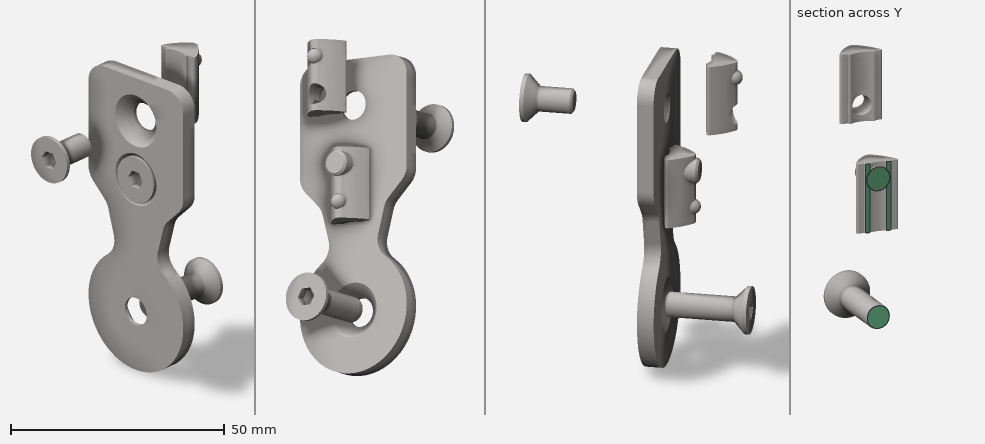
import cadquery as cq
import math


plate_thickness = 4.0
disc_radius = 15.0
plate_half_width = disc_radius
plate_top = 60.0
shoulder_z = 31.0
neck_top_x = 9.0
neck_top_z = shoulder_z - (plate_half_width - neck_top_x)
neck_foot_x = 5.0
neck_foot_z = 10.0
corner_radius = 5.0
screw_hole_radius = 3.5
countersink_radius = 6.55
fixing_pitch = 15.0
lower_fixing_z = 33.95
upper_fixing_z = lower_fixing_z + fixing_pitch

shank_radius = 3.0
head_radius = 5.7
head_rim = 1.0
head_height = head_rim + head_radius - shank_radius
under_head_fillet = 0.6
tip_chamfer = 0.55
short_screw_length = 12.0
long_screw_length = 20.1
socket_across_flats = 4.0
socket_depth = 2.0
loose_screw_face_y = -30.25

nut_length = 17.0
nut_half_width = 5.2
nut_side_height = 0.8
nut_flank = (3.66, 3.3)
nut_crown = (1.3, 5.7)
nut_apex = 6.3
foot_half_width = 3.3
foot_tip_x = 2.85
foot_height = 0.55
lip_corner_radius = 0.4
foot_root_radius = 0.2
hollow_rise = 0.2
end_offset = 4.0
nut_hole_radius = 2.5
loose_nut_gap = 10.0

head_proud = head_rim - (countersink_radius - head_radius)

ball_radius = 1.85
ball_protrusion = 1.2
ball_center = foot_height + nut_apex + ball_protrusion - ball_radius


def cylinder_along_y(radius, start_y, end_y, z):
    circle = cq.Workplane("XZ", origin=(0, start_y, z)).circle(radius)
    return circle.extrude(start_y - end_y)


def plate_blank():
    outline = [
        (-plate_half_width, plate_top),
        (plate_half_width, plate_top),
        (plate_half_width, shoulder_z),
        (neck_top_x, neck_top_z),
        (neck_foot_x, neck_foot_z),
        (-neck_foot_x, neck_foot_z),
        (-neck_top_x, neck_top_z),
        (-plate_half_width, shoulder_z),
    ]
    upper = cq.Workplane("XZ").polyline(outline).close().extrude(-plate_thickness)
    disc = cylinder_along_y(disc_radius, 0, plate_thickness, 0)
    blank = upper.union(disc)
    above_foot = cq.selectors.BoxSelector(
        (-2 * plate_half_width, -plate_thickness, neck_foot_z),
        (2 * plate_half_width, 2 * plate_thickness, 2 * plate_top),
    )
    return blank.edges("|Y").edges(above_foot).fillet(corner_radius)


def countersunk_hole(z):
    """Through hole with its countersink on the plate's front face."""
    cone_depth = countersink_radius - screw_hole_radius
    profile = [
        (0, 0),
        (countersink_radius, 0),
        (screw_hole_radius, cone_depth),
        (screw_hole_radius, plate_thickness),
        (0, plate_thickness),
    ]
    cutter = cq.Workplane("XY").polyline(profile).close().revolve(360, (0, 0), (0, 1))
    return cutter.translate((0, 0, z))


def make_plate():
    plate = plate_blank()
    for z in (lower_fixing_z, upper_fixing_z):
        plate = plate.cut(countersunk_hole(z))
    pivot_hole = countersunk_hole(0).mirror("XZ").translate((0, plate_thickness, 0))
    return plate.cut(pivot_hole)


def screw_blank(length):
    """Screw without its socket: head face at y = 0, shank toward +Y."""
    half_turn = math.radians(45) / 2
    tangent = under_head_fillet * math.tan(half_turn)
    diagonal = tangent * math.sqrt(0.5)
    fillet_end_y = head_height + tangent
    fillet_mid_x = shank_radius + under_head_fillet * (1 - math.cos(half_turn))
    fillet_mid_y = fillet_end_y - under_head_fillet * math.sin(half_turn)
    profile = (
        cq.Workplane("XY")
        .lineTo(head_radius, 0)
        .lineTo(head_radius, head_rim)
        .lineTo(shank_radius + diagonal, head_height - diagonal)
        .threePointArc(
            (fillet_mid_x, fillet_mid_y),
            (shank_radius, fillet_end_y),
        )
        .lineTo(shank_radius, length - tip_chamfer)
        .lineTo(shank_radius - tip_chamfer, length)
        .lineTo(0, length)
        .close()
    )
    return profile.revolve(360, (0, 0), (0, 1))


def hex_socket():
    """Hexagonal socket that ends in a 45 degree conical bottom."""
    hex_radius = socket_across_flats / 2 / math.cos(math.radians(30))
    full_depth = socket_depth + hex_radius
    hexagon = cq.Workplane("XZ").polygon(6, 2 * hex_radius).extrude(-full_depth)
    drill_profile = [
        (0, 0),
        (hex_radius, 0),
        (hex_radius, socket_depth),
        (0, full_depth),
    ]
    drill = cq.Workplane("XY").polyline(drill_profile).close().revolve(360, (0, 0), (0, 1))
    return hexagon.intersect(drill)


def make_screw(length):
    return screw_blank(length).cut(hex_socket())


def nut_body():
    """Nut standing on its feet at y = 0, lower end at z = 0, apex toward +Y."""
    lip = foot_height
    flank_x, flank_y = nut_flank
    crown_x, crown_y = nut_crown
    profile = (
        cq.Workplane("XY")
        .moveTo(foot_tip_x, 0)
        .lineTo(foot_half_width, 0)
        .lineTo(foot_half_width, lip)
        .lineTo(nut_half_width, lip)
        .lineTo(nut_half_width, lip + nut_side_height)
        .threePointArc((flank_x, lip + flank_y), (crown_x, lip + crown_y))
        .threePointArc((0, lip + nut_apex), (-crown_x, lip + crown_y))
        .threePointArc((-flank_x, lip + flank_y), (-nut_half_width, lip + nut_side_height))
        .lineTo(-nut_half_width, lip)
        .lineTo(-foot_half_width, lip)
        .lineTo(-foot_half_width, 0)
        .lineTo(-foot_tip_x, 0)
        .threePointArc((0, lip + hollow_rise), (foot_tip_x, 0))
        .close()
    )
    nut = profile.extrude(nut_length)
    for side in (-1, 1):
        lip_corner = (side * nut_half_width, lip, nut_length / 2)
        foot_root = (side * foot_half_width, lip, nut_length / 2)
        nut = nut.edges(cq.selectors.NearestToPointSelector(lip_corner)).fillet(lip_corner_radius)
        nut = nut.edges(cq.selectors.NearestToPointSelector(foot_root)).fillet(foot_root_radius)
    return nut


def make_ball(y, z):
    return cq.Workplane("XY").sphere(ball_radius).translate((0, y, z))


def make_nut(foot_y, bottom_z, hole_z, ball_z):
    total_height = foot_height + nut_apex
    ball_y = foot_y + ball_center
    nut = nut_body().translate((0, foot_y, bottom_z))
    nut = nut.cut(cylinder_along_y(nut_hole_radius, foot_y, foot_y + total_height, hole_z))
    nut = nut.cut(cylinder_along_y(ball_radius, ball_y, foot_y + total_height, ball_z))
    return nut.cut(make_ball(ball_y, ball_z))


seated_place = (0, -head_proud, lower_fixing_z)
seated_blank = screw_blank(short_screw_length).translate(seated_place)
seated_screw = make_screw(short_screw_length).translate(seated_place)
loose_screw = make_screw(short_screw_length).translate((0, loose_screw_face_y, upper_fixing_z))
pivot_screw = (
    make_screw(long_screw_length)
    .rotate((0, 0, 0), (0, 0, 1), 180)
    .translate((0, plate_thickness + long_screw_length, 0))
)

plate = make_plate()

ball_to_hole = nut_length - 2 * end_offset
seated_nut_y = plate_thickness
seated_ball_z = lower_fixing_z - ball_to_hole
seated_nut_bottom = seated_ball_z - end_offset
seated_nut = make_nut(seated_nut_y, seated_nut_bottom, lower_fixing_z, seated_ball_z).cut(seated_blank)
seated_ball = make_ball(seated_nut_y + ball_center, seated_ball_z)

loose_nut_y = plate_thickness + loose_nut_gap
loose_ball_z = upper_fixing_z + ball_to_hole
loose_nut_bottom = upper_fixing_z - end_offset
loose_nut = make_nut(loose_nut_y, loose_nut_bottom, upper_fixing_z, loose_ball_z)
loose_ball = make_ball(loose_nut_y + ball_center, loose_ball_z)

result = cq.Compound.makeCompound([
    plate.val(),
    seated_screw.val(),
    loose_screw.val(),
    pivot_screw.val(),
    seated_nut.val(),
    loose_nut.val(),
    seated_ball.val(),
    loose_ball.val(),
])